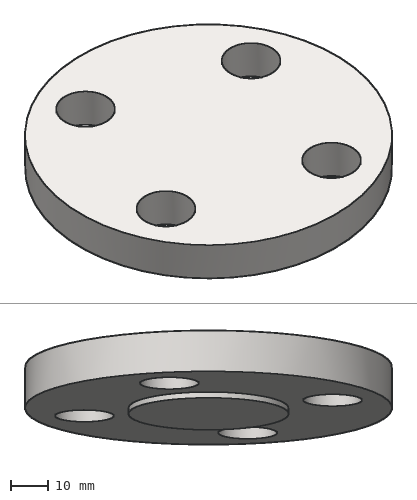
import cadquery as cq

flange_diameter = 98.5
overall_height = 12.8
raised_face_diameter = 43.0
raised_face_height = 1.6
plate_thickness = overall_height - raised_face_height

bolt_hole_count = 4
bolt_hole_diameter = 15.8
bolt_circle_diameter = 69.85


def make_plate():
    """Round plate standing on top of the raised face."""
    return (
        cq.Workplane("XY")
        .workplane(offset=raised_face_height)
        .circle(flange_diameter / 2)
        .extrude(plate_thickness)
    )


def make_raised_face():
    """Shallow disc on the underside, with its lower face at Z = 0."""
    return cq.Workplane("XY").circle(raised_face_diameter / 2).extrude(raised_face_height)


def make_bolt_holes():
    """Cylinders that cut the bolt holes right through the plate."""
    return (
        cq.Workplane("XY")
        .polarArray(bolt_circle_diameter / 2, 0, 360, bolt_hole_count)
        .circle(bolt_hole_diameter / 2)
        .extrude(overall_height)
    )


result = make_plate().union(make_raised_face()).cut(make_bolt_holes())